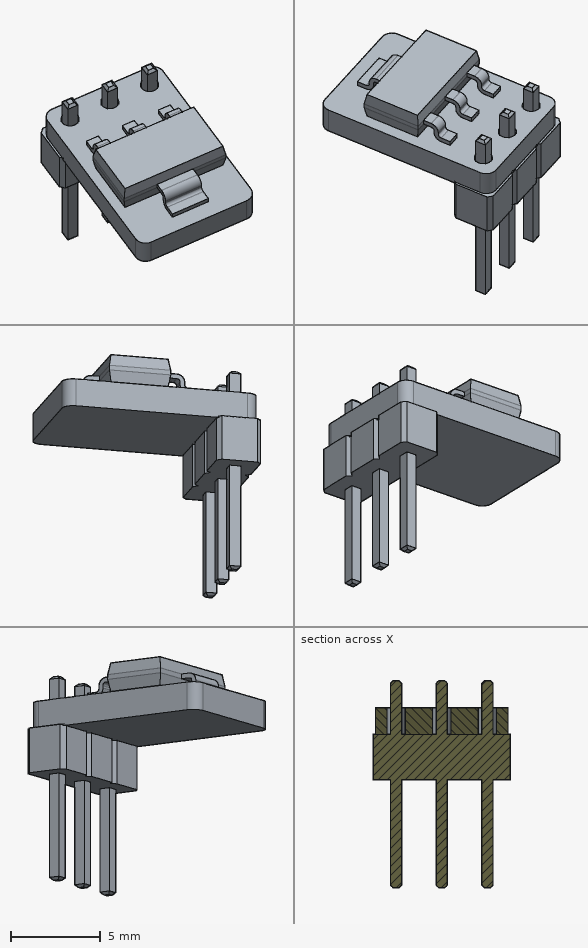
import cadquery as cq
import math


pin_count = 3
header_length = 7.62
pitch = header_length / pin_count
block_size = pitch
block_chamfer = 0.25
pin_width = 0.64
pin_top = 1.5
pin_bottom = -10.03
pin_tip_chamfer = 0.15
header_seat = 0.08

board_length = 11.16
board_width = 7.38
board_thickness = 1.57
board_corner_radius = 0.64
board_left = -1.13
pin_hole_diameter = 1.0

package_x = 5.58
package_length = 3.53
package_width = 6.5
package_bottom = 0.15
package_top = 1.77
package_draft_inset = 0.12

lead_thickness = 0.27
lead_foot_bottom = 0.05
lead_tip_reach = 3.49
lead_leg_reach = 2.73
lead_inner_radius = 0.19
lead_width = 0.77
lead_pitch = 2.3
lead_count = 3
tab_width = 2.3

block_top = header_seat - board_thickness
pin_y = [(i - (pin_count - 1) / 2) * pitch for i in range(pin_count)]
lead_y = [(i - (lead_count - 1) / 2) * lead_pitch for i in range(lead_count)]
lead_outer_radius = lead_inner_radius + lead_thickness
band_bottom = (package_bottom + package_top - lead_thickness) / 2
band_top = band_bottom + lead_thickness


def make_block(y):
    """One cube of header plastic with its four upright edges chamfered."""
    return (
        cq.Workplane("XY", origin=(0, y, block_top))
        .rect(block_size, block_size)
        .extrude(-block_size)
        .edges("|Z")
        .chamfer(block_chamfer)
    )


def make_pin_tip(y, z, direction):
    """Tapered pin end that starts at height z and points up (1) or down (-1)."""
    tip_width = pin_width - 2 * pin_tip_chamfer
    return (
        cq.Workplane("XY", origin=(0, y, z))
        .rect(pin_width, pin_width)
        .workplane(offset=direction * pin_tip_chamfer)
        .rect(tip_width, tip_width)
        .loft(ruled=True)
    )


def make_pin(y):
    """Square pin with a tapered tip at both ends."""
    shaft_bottom = pin_bottom + pin_tip_chamfer
    shaft_top = pin_top - pin_tip_chamfer
    shaft = (
        cq.Workplane("XY", origin=(0, y, shaft_bottom))
        .rect(pin_width, pin_width)
        .extrude(shaft_top - shaft_bottom)
    )
    upper_tip = make_pin_tip(y, shaft_top, 1)
    lower_tip = make_pin_tip(y, shaft_bottom, -1)
    return shaft.union(upper_tip).union(lower_tip)


def make_header_plastic():
    """The chamfered cubes joined in a row, with a V groove at each joint."""
    plastic = make_block(pin_y[0])
    for y in pin_y[1:]:
        plastic = plastic.union(make_block(y))
    return plastic


def make_header():
    header = make_header_plastic()
    for y in pin_y:
        header = header.union(make_pin(y))
    return header


def make_board():
    """Rounded plate with pin holes and a shallow recess that seats the header."""
    plate = (
        cq.Workplane("XY", origin=(board_left + board_length / 2, 0, 0))
        .rect(board_length, board_width)
        .extrude(-board_thickness)
        .edges("|Z")
        .fillet(board_corner_radius)
    )
    pin_holes = (
        cq.Workplane("XY")
        .pushPoints([(0, y) for y in pin_y])
        .circle(pin_hole_diameter / 2)
        .extrude(-board_thickness)
    )
    return plate.cut(pin_holes).cut(make_header_plastic())


def make_package_half(z, height):
    """Sloped half of the moulding, from the band face at z; negative height points down."""
    end_length = package_length - 2 * package_draft_inset
    end_width = package_width - 2 * package_draft_inset
    return (
        cq.Workplane("XY", origin=(package_x, 0, z))
        .rect(package_length, package_width)
        .workplane(offset=height)
        .rect(end_length, end_width)
        .loft(ruled=True)
    )


def make_moulding():
    """Straight middle band between two sloped halves."""
    band = (
        cq.Workplane("XY", origin=(package_x, 0, band_bottom))
        .rect(package_length, package_width)
        .extrude(lead_thickness)
    )
    upper = make_package_half(band_top, package_top - band_top)
    lower = make_package_half(band_bottom, package_bottom - band_bottom)
    return band.union(upper).union(lower)


def make_lead(y, width, side):
    """S-bent strip on the -X (side = -1) or +X (side = 1) face of the package."""
    foot_top = lead_foot_bottom + lead_thickness
    leg_inside = lead_leg_reach - lead_thickness
    root = package_length / 2 - lead_thickness
    diagonal = math.sqrt(0.5)

    def place(reach, z):
        return (package_x + side * reach, z)

    def on_arc(centre_reach, centre_z, radius, outward, upward):
        """Middle point of a quarter arc."""
        return place(centre_reach + outward * radius * diagonal, centre_z + upward * radius * diagonal)

    upper_reach = leg_inside - lead_inner_radius
    upper_z = band_bottom - lead_inner_radius
    lower_reach = lead_leg_reach + lead_inner_radius
    lower_z = foot_top + lead_inner_radius

    return (
        cq.Workplane("XZ", origin=(0, y, 0))
        .moveTo(*place(root, band_top))
        .lineTo(*place(upper_reach, band_top))
        .threePointArc(
            on_arc(upper_reach, upper_z, lead_outer_radius, 1, 1),
            place(lead_leg_reach, upper_z),
        )
        .lineTo(*place(lead_leg_reach, lower_z))
        .threePointArc(
            on_arc(lower_reach, lower_z, lead_inner_radius, -1, -1),
            place(lower_reach, foot_top),
        )
        .lineTo(*place(lead_tip_reach, foot_top))
        .lineTo(*place(lead_tip_reach, lead_foot_bottom))
        .lineTo(*place(lower_reach, lead_foot_bottom))
        .threePointArc(
            on_arc(lower_reach, lower_z, lead_outer_radius, -1, -1),
            place(leg_inside, lower_z),
        )
        .lineTo(*place(leg_inside, upper_z))
        .threePointArc(
            on_arc(upper_reach, upper_z, lead_inner_radius, 1, 1),
            place(upper_reach, band_bottom),
        )
        .lineTo(*place(root, band_bottom))
        .close()
        .extrude(width / 2, both=True)
    )


def make_power_package():
    package = make_moulding()
    for y in lead_y:
        package = package.union(make_lead(y, lead_width, -1))
    return package.union(make_lead(0, tab_width, 1))


header = make_header()
board = make_board()
power_package = make_power_package()

bodies = [header, board, power_package]
result = cq.Compound.makeCompound([body.solids().val() for body in bodies])